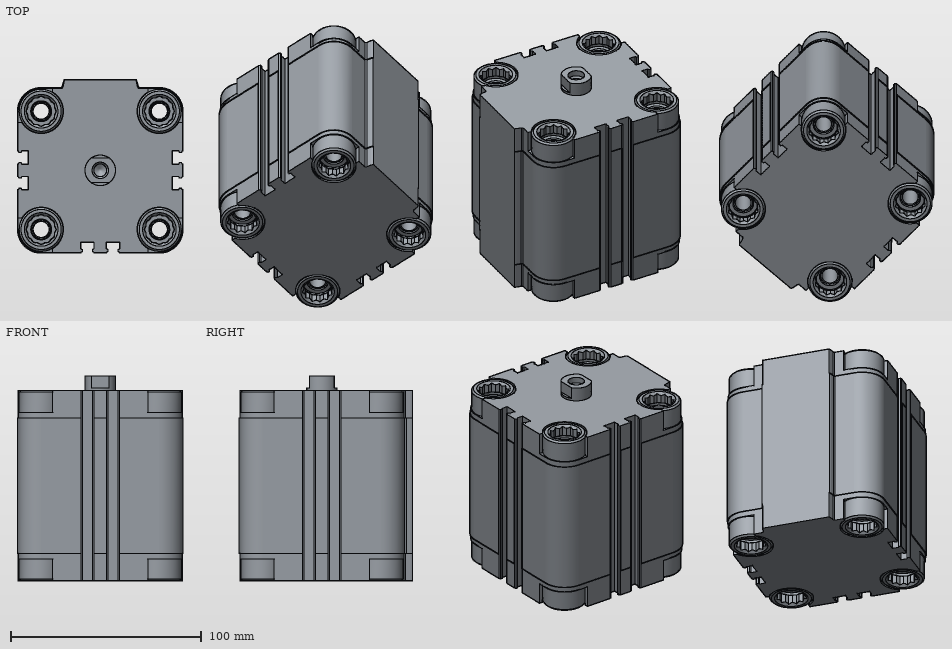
import cadquery as cq
import math

TOTAL_HEIGHT = 107.5
ROD_PROTRUSION = 7.5
HOUSING_HEIGHT = TOTAL_HEIGHT - ROD_PROTRUSION
BODY_WIDTH = 87.0
BODY_DEPTH = 91.0
CORNER_SPACING = 62.0
CAP_HEIGHT = 14.4
CAP_INSET = 0.4

BODY_HALF = BODY_WIDTH / 2
CAP_HALF = BODY_HALF - CAP_INSET
CORNER_OFFSET = CORNER_SPACING / 2

RAIL_TOP_Y = BODY_DEPTH - BODY_HALF
RAIL_TOP_HALF = 18.9
RAIL_EDGE_HALF = 19.4
RAIL_EDGE_HEIGHT = 1.0
RAIL_FLANK_HALF = 19.9
RAIL_FLANK_HEIGHT = 0.9
RAIL_FOOT_HALF = 20.4

SLOT_SPACING = 13.4
SLOT_OFFSET = SLOT_SPACING / 2
SLOT_DEPTH = 5.3
SLOT_HALF_WIDTH = 3.4
SLOT_NECK_HALF = 2.6
SLOT_LIP_DEPTH = 1.9
SLOT_CHAMFER_DEPTH = 0.4

RECESS_HEIGHT = 11.5
RECESS_DIAMETER = 23.4
RECESS_INNER_EDGE = 25.0
BOSS_DIAMETER = 23.0
BOSS_CHAMFER = 1.0
SOCKET_MOUTH_DIAMETER = 17.6
SOCKET_CHAMFER = 1.5
SOCKET_STAR_DIAMETER = 16.0
SOCKET_STAR_TIPS = 12
SOCKET_STAR_DEPTH = 6.0
SOCKET_RELIEF_DIAMETER = 15.4
SOCKET_DEPTH = 7.5
SCREW_HOLE_DIAMETER = 8.4
SCREW_SINK_DIAMETER = 11.0
SCREW_SINK_FLOOR_DIAMETER = 9.9
SCREW_SINK_DEPTH = 0.6

ROD_DIAMETER = 16.0
ROD_FLAT_WIDTH = 13.0
ROD_FLAT_LENGTH = 6.2
ROD_INSERTION = CAP_HEIGHT
ROD_BORE_DIAMETER = 8.6
ROD_BORE_DEPTH = 3.2
ROD_DRILL_DIAMETER = 6.7
ROD_BORE_CONE = (ROD_BORE_DIAMETER - ROD_DRILL_DIAMETER) / 2
ROD_DRILL_DEPTH = 10.8
DRILL_POINT_HALF_ANGLE = 59.0


def rounded_prism(half_width, bottom, top):
    """Square prism whose corner arcs are centred on the screw axes."""
    return (
        cq.Workplane("XY", origin=(0, 0, bottom))
        .rect(2 * half_width, 2 * half_width)
        .extrude(top - bottom)
        .edges("|Z")
        .fillet(half_width - CORNER_OFFSET)
    )


def rail(inset, bottom, top):
    """Length of the tapered rail on the +Y side; inset narrows it and lowers its foot."""
    foot_y = BODY_HALF - inset
    right_side = [
        (RAIL_FOOT_HALF - inset, 0),
        (RAIL_FOOT_HALF - inset, foot_y),
        (RAIL_FLANK_HALF - inset, foot_y + RAIL_FLANK_HEIGHT),
        (RAIL_EDGE_HALF - inset, RAIL_TOP_Y - RAIL_EDGE_HEIGHT),
        (RAIL_TOP_HALF - inset, RAIL_TOP_Y),
    ]
    left_side = [(-x, y) for x, y in reversed(right_side)]
    outline = cq.Workplane("XY", origin=(0, 0, bottom)).polyline(right_side + left_side)
    return outline.close().extrude(top - bottom)


def slot_cutter(offset):
    """T-shaped slot in the -Y side; offset is the place of its axis along X."""
    face = -CAP_HALF
    right_side = [
        (SLOT_HALF_WIDTH, -BODY_HALF),
        (SLOT_HALF_WIDTH, face),
        (SLOT_NECK_HALF, face + SLOT_CHAMFER_DEPTH),
        (SLOT_NECK_HALF, face + SLOT_LIP_DEPTH - SLOT_CHAMFER_DEPTH),
        (SLOT_HALF_WIDTH, face + SLOT_LIP_DEPTH),
        (SLOT_HALF_WIDTH, face + SLOT_DEPTH),
    ]
    left_side = [(-x, y) for x, y in reversed(right_side)]
    outline = [(x + offset, y) for x, y in right_side + left_side]
    return cq.Workplane("XY").polyline(outline).close().extrude(HOUSING_HEIGHT)


def cone(bottom_radius, top_radius, height, base_z):
    """Cone or truncated cone on the Z axis."""
    solid = cq.Solid.makeCone(bottom_radius, top_radius, height, cq.Vector(0, 0, base_z))
    return cq.Workplane(obj=solid)


def cylinder(diameter, bottom, top):
    """Upright cylinder on the Z axis."""
    return cq.Workplane("XY", origin=(0, 0, bottom)).circle(diameter / 2).extrude(top - bottom)


def corner_recess():
    """Upper recess of the (+X, +Y) corner, open to both sides of the corner."""
    floor = HOUSING_HEIGHT - RECESS_HEIGHT
    side = BODY_HALF - RECESS_INNER_EDGE
    notch = (
        cq.Workplane("XY", origin=(RECESS_INNER_EDGE, RECESS_INNER_EDGE, floor))
        .rect(side, side, centered=False)
        .extrude(RECESS_HEIGHT)
    )
    round_part = cylinder(RECESS_DIAMETER, floor, HOUSING_HEIGHT)
    return notch.union(round_part.translate((CORNER_OFFSET, CORNER_OFFSET, 0)))


def twelve_point_star():
    """Outline points of two crossed hexagons, tip by tip."""
    half_pitch = math.pi / SOCKET_STAR_TIPS
    tip_radius = SOCKET_STAR_DIAMETER / 2
    flat_radius = tip_radius * math.cos(math.pi / 6)
    notch_radius = flat_radius / math.cos(half_pitch)
    points = []
    for step in range(2 * SOCKET_STAR_TIPS):
        radius = notch_radius if step % 2 else tip_radius
        angle = half_pitch * step
        points.append((radius * math.cos(angle), radius * math.sin(angle)))
    return points


def screw_boss():
    """Upper screw head, on the Z axis."""
    floor = HOUSING_HEIGHT - RECESS_HEIGHT
    return cylinder(BOSS_DIAMETER, floor, HOUSING_HEIGHT).faces(">Z").chamfer(BOSS_CHAMFER)


def screw_socket():
    """Twelve-point socket and tapered counterbore of the upper screw head, on the Z axis."""
    top = HOUSING_HEIGHT
    floor = top - SOCKET_DEPTH
    star = (
        cq.Workplane("XY", origin=(0, 0, top - SOCKET_STAR_DEPTH))
        .polyline(twelve_point_star())
        .close()
        .extrude(SOCKET_STAR_DEPTH)
    )
    mouth_radius = SOCKET_MOUTH_DIAMETER / 2
    mouth = cone(mouth_radius - SOCKET_CHAMFER, mouth_radius, SOCKET_CHAMFER, top - SOCKET_CHAMFER)
    relief = cylinder(SOCKET_RELIEF_DIAMETER, floor, top - SOCKET_STAR_DEPTH)
    sink_floor = floor - SCREW_SINK_DEPTH
    sink = cone(SCREW_SINK_FLOOR_DIAMETER / 2, SCREW_SINK_DIAMETER / 2, SCREW_SINK_DEPTH, sink_floor)
    return star.union(mouth).union(relief).union(sink)


def at_both_ends(shape):
    """The shape together with its mirror image at the other end of the housing."""
    return [shape, shape.mirror("XY", (0, 0, HOUSING_HEIGHT / 2))]


def add_corner_screws(housing):
    """Screw heads in recesses at both ends of each corner, with a hole through both."""
    recesses = at_both_ends(corner_recess())
    bosses = at_both_ends(screw_boss())
    sockets = at_both_ends(screw_socket())
    place = (CORNER_OFFSET, CORNER_OFFSET, 0)
    hole = cylinder(SCREW_HOLE_DIAMETER, 0, HOUSING_HEIGHT)
    for quarter in range(4):
        angle = 90 * quarter
        for recess, boss, socket in zip(recesses, bosses, sockets):
            housing = housing.cut(recess.rotate((0, 0, 0), (0, 0, 1), angle))
            housing = housing.union(boss.translate(place).rotate((0, 0, 0), (0, 0, 1), angle))
            housing = housing.cut(socket.translate(place).rotate((0, 0, 0), (0, 0, 1), angle))
        housing = housing.cut(hole.translate(place).rotate((0, 0, 0), (0, 0, 1), angle))
    return housing


def make_housing():
    """Barrel, end caps and screws, with a blind hole for the piston rod."""
    barrel_top = HOUSING_HEIGHT - CAP_HEIGHT
    barrel = rounded_prism(BODY_HALF, CAP_HEIGHT, barrel_top).union(rail(0, CAP_HEIGHT, barrel_top))
    caps = rounded_prism(CAP_HALF, 0, HOUSING_HEIGHT).union(rail(CAP_INSET, 0, HOUSING_HEIGHT))
    housing = caps.union(barrel)
    for side_angle in (-90, 0, 90):
        for offset in (-SLOT_OFFSET, SLOT_OFFSET):
            housing = housing.cut(slot_cutter(offset).rotate((0, 0, 0), (0, 0, 1), side_angle))
    housing = add_corner_screws(housing)
    return housing.cut(cylinder(ROD_DIAMETER, HOUSING_HEIGHT - ROD_INSERTION, HOUSING_HEIGHT))


def make_piston_rod():
    """Rod with two wrench flats and a stepped, drilled hole in its end."""
    rod = cylinder(ROD_DIAMETER, HOUSING_HEIGHT - ROD_INSERTION, TOTAL_HEIGHT)
    flats = (
        cq.Workplane("XY", origin=(0, 0, TOTAL_HEIGHT - ROD_FLAT_LENGTH))
        .rect(ROD_DIAMETER, ROD_DIAMETER)
        .rect(ROD_DIAMETER, ROD_FLAT_WIDTH)
        .extrude(ROD_FLAT_LENGTH)
    )
    drill_radius = ROD_DRILL_DIAMETER / 2
    drill_end = TOTAL_HEIGHT - ROD_DRILL_DEPTH
    point_height = drill_radius / math.tan(math.radians(DRILL_POINT_HALF_ANGLE))
    bore_floor = TOTAL_HEIGHT - ROD_BORE_DEPTH
    bore_cone = cone(drill_radius, ROD_BORE_DIAMETER / 2, ROD_BORE_CONE, bore_floor - ROD_BORE_CONE)
    rod = rod.cut(flats)
    rod = rod.cut(cylinder(ROD_BORE_DIAMETER, bore_floor, TOTAL_HEIGHT))
    rod = rod.cut(bore_cone)
    rod = rod.cut(cylinder(ROD_DRILL_DIAMETER, drill_end, bore_floor))
    return rod.cut(cone(0, drill_radius, point_height, drill_end - point_height))


housing = make_housing()
piston_rod = make_piston_rod()
result = cq.Compound.makeCompound([housing.val(), piston_rod.val()])